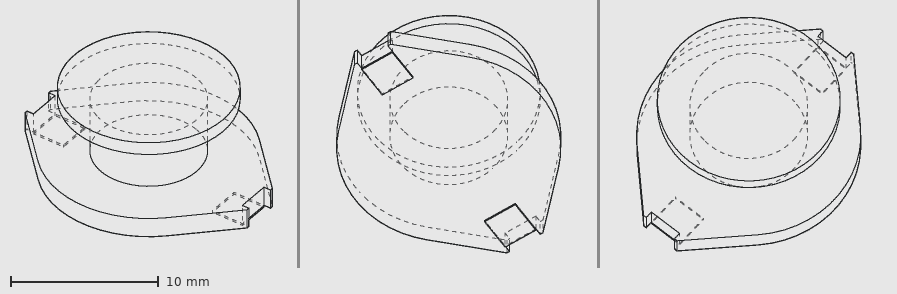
import cadquery as cq
import math

base_length = 18.54
base_diameter = 15.2
base_thickness = 1.55
tangent_angle = math.radians(45)

notch_width = 2.5
notch_depth = 0.54

pad_length = 2.5
pad_width = notch_width
pad_thickness = 0.15

post_diameter = 8.0
post_height = 4.4
flange_diameter = 12.4
flange_thickness = 1.0

base_bottom = pad_thickness
post_bottom = base_bottom + base_thickness
flange_bottom = post_bottom + post_height


def make_base():
    radius = base_diameter / 2
    tip_x = base_length / 2
    tangent_x = radius * math.cos(tangent_angle)
    tangent_y = radius * math.sin(tangent_angle)
    tip_y = (radius - tip_x * math.cos(tangent_angle)) / math.sin(tangent_angle)
    plate = (
        cq.Workplane("XY", origin=(0, 0, base_bottom))
        .moveTo(tip_x, -tip_y)
        .lineTo(tip_x, tip_y)
        .lineTo(tangent_x, tangent_y)
        .threePointArc((0, radius), (-tangent_x, tangent_y))
        .lineTo(-tip_x, tip_y)
        .lineTo(-tip_x, -tip_y)
        .lineTo(-tangent_x, -tangent_y)
        .threePointArc((0, -radius), (tangent_x, -tangent_y))
        .close()
        .extrude(base_thickness)
    )
    notches = (
        cq.Workplane("XY", origin=(0, 0, base_bottom))
        .pushPoints([(-tip_x, 0), (tip_x, 0)])
        .rect(2 * notch_depth, notch_width)
        .extrude(base_thickness)
    )
    return plate.cut(notches)


def make_cylinder(diameter, height, bottom):
    return cq.Workplane("XY", origin=(0, 0, bottom)).circle(diameter / 2).extrude(height)


def make_pad(side):
    center_x = side * (base_length / 2 - notch_depth - pad_length / 2)
    return cq.Workplane("XY").center(center_x, 0).rect(pad_length, pad_width).extrude(pad_thickness)


base = make_base()
post = make_cylinder(post_diameter, post_height, post_bottom)
flange = make_cylinder(flange_diameter, flange_thickness, flange_bottom)
pads = [make_pad(side) for side in (-1, 1)]

result = cq.Compound.makeCompound(
    [base.val(), post.val(), flange.val(), *[pad.val() for pad in pads]]
)